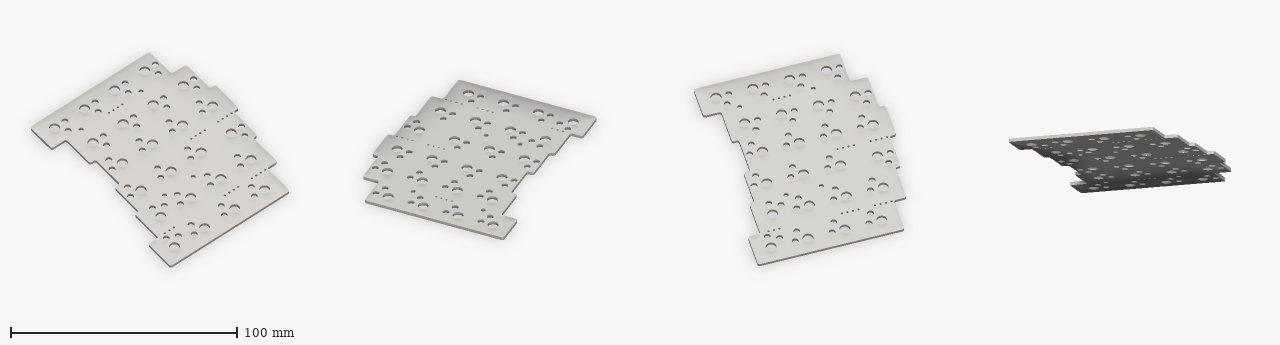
import cadquery as cq

length = 99.7
width = 78.9
thickness = 1.5
corner_radius = 1.0

columns = 6
rows = 4
grid_length = 85.0
grid_height = 51.0
column_pitch = grid_length / (columns - 1)
row_pitch = grid_height / (rows - 1)
left_margin = 7.1
first_column_x = -length / 2 + left_margin

highest_stagger = 11.3
column_stagger = [0.0, 8.2, highest_stagger, 8.2, 5.8, 0.0]
column_height = width - highest_stagger
row_margin = (column_height - grid_height) / 2
step_clearance = 0.2

stem_diameter = 4.8
pin_diameter = 3.0
pin_offsets = [(0.0, 5.9), (5.0, 3.7)]

pins_up = 0
pins_left = 1
pins_down = 2
switch_turns = [
    [pins_up, pins_up, pins_up, pins_up],
    [pins_up, pins_up, pins_up, pins_up],
    [pins_down, pins_down, pins_down, pins_down],
    [pins_down, pins_down, pins_down, pins_up],
    [pins_left, pins_down, pins_down, pins_down],
    [pins_left, pins_down, pins_down, pins_down],
]

mount_diameter = 2.2
mount_centers = [(-34.8, 11.4), (-34.6, -22.6), (16.9, -0.4), (17.1, -16.7)]

wire_diameter = 1.0
wire_row_length = 7.6
wire_pitch = wire_row_length / 3
wire_rows = [
    (1, 0.4, 4),
    (3, 35.1, 4),
    (3, 19.8, 4),
    (5, 26.9, 4),
    (5, 11.7, 4),
    (5, -24.8, 3),
]


def boundary_x(columns_to_left):
    """X of the line midway between two neighbouring columns."""
    return first_column_x + (columns_to_left - 0.5) * column_pitch


def column_bottom(column):
    return -width / 2 + column_stagger[column]


def stepped_edge(base_y, clearance):
    """Points, left to right, of the stepped edge whose first column lies at base_y."""
    points = [(-length / 2, base_y + column_stagger[0])]
    for column in range(1, columns):
        before = column_stagger[column - 1]
        after = column_stagger[column]
        shift = clearance if after > before else -clearance
        x = boundary_x(column) + shift
        points += [(x, base_y + before), (x, base_y + after)]
    points.append((length / 2, base_y + column_stagger[-1]))
    return points


def make_plate():
    top_edge = stepped_edge(-width / 2 + column_height, step_clearance)
    bottom_edge = stepped_edge(-width / 2, -step_clearance)
    outline = top_edge + bottom_edge[::-1]
    plate = cq.Workplane("XY").polyline(outline).close().extrude(thickness)
    return plate.edges("|Z").fillet(corner_radius)


def quarter_turn(point, turns):
    """Turn a point counter-clockwise about the origin by quarter turns."""
    x, y = point
    for _ in range(turns):
        x, y = -y, x
    return x, y


def switch_holes():
    """Stem centres and pin centres of all switches."""
    stems = []
    pins = []
    for column in range(columns):
        for row in range(rows):
            x = first_column_x + column * column_pitch
            y = column_bottom(column) + row_margin + row * row_pitch
            stems.append((x, y))
            for offset in pin_offsets:
                dx, dy = quarter_turn(offset, switch_turns[column][row])
                pins.append((x + dx, y + dy))
    return stems, pins


def wire_holes():
    centers = []
    for columns_to_left, top_y, count in wire_rows:
        for index in range(count):
            centers.append((boundary_x(columns_to_left), top_y - index * wire_pitch))
    return centers


def drill(centers, diameter):
    """Cutters for through holes."""
    return cq.Workplane("XY").pushPoints(centers).circle(diameter / 2).extrude(thickness)


stem_centers, pin_centers = switch_holes()
result = make_plate()
result = result.cut(drill(stem_centers, stem_diameter))
result = result.cut(drill(pin_centers, pin_diameter))
result = result.cut(drill(mount_centers, mount_diameter))
result = result.cut(drill(wire_holes(), wire_diameter))